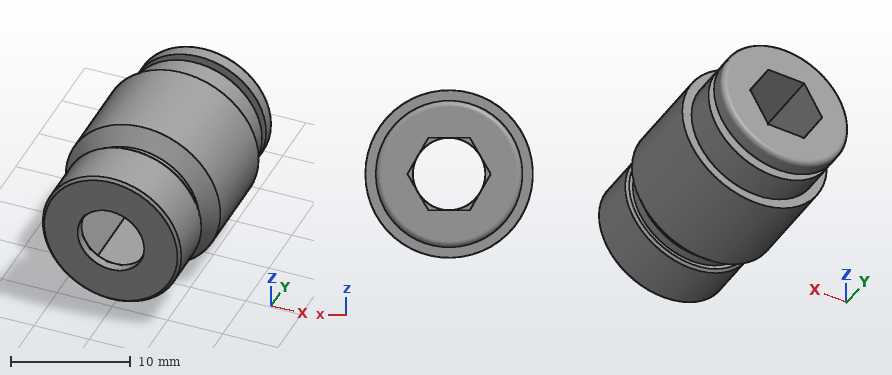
import cadquery as cq
import math

length = 20.5
body_radius = 7.01
front_radius = 6.27
neck_radius = 5.68
rear_radius = 6.13
rear_groove_radius = 4.5
bore_radius = 3.01
hex_corner_radius = bore_radius / math.cos(math.pi / 6)

front_collar_end = 4.84
neck_end = 5.64
body_start = neck_end + body_radius - neck_radius
body_end = 15.3
rear_groove_start = 18.12
flange_start = 19.0
bore_depth = 0.88

front_chamfer = 0.25
flange_round = 0.5


def make_body():
    """Revolve the outer half-section, from the front face to the rear face."""
    half_section = (
        cq.Workplane("XY")
        .moveTo(0, 0)
        .lineTo(front_radius - front_chamfer, 0)
        .lineTo(front_radius, front_chamfer)
        .lineTo(front_radius, front_collar_end - front_chamfer)
        .lineTo(front_radius - front_chamfer, front_collar_end)
        .lineTo(neck_radius, front_collar_end)
        .lineTo(neck_radius, neck_end)
        .lineTo(body_radius, body_start)
        .lineTo(body_radius, body_end)
        .lineTo(rear_radius, body_end)
        .lineTo(rear_radius, rear_groove_start)
        .lineTo(rear_groove_radius, rear_groove_start)
        .lineTo(rear_groove_radius, flange_start)
        .lineTo(rear_radius, flange_start)
        .lineTo(rear_radius, length - flange_round)
        .radiusArc((rear_radius - flange_round, length), -flange_round)
        .lineTo(0, length)
        .close()
    )
    return half_section.revolve(360, (0, 0, 0), (0, 1, 0))


def make_front_bore():
    """Short round bore just inside the front face."""
    return cq.Workplane("XZ").circle(bore_radius).extrude(-bore_depth)


def make_hex_passage():
    """Hexagonal passage from the round bore through the rear face, with corners on the X axis."""
    return (
        cq.Workplane("XZ", origin=(0, bore_depth, 0))
        .polygon(6, 2 * hex_corner_radius)
        .extrude(-(length - bore_depth))
    )


result = make_body().cut(make_front_bore()).cut(make_hex_passage())